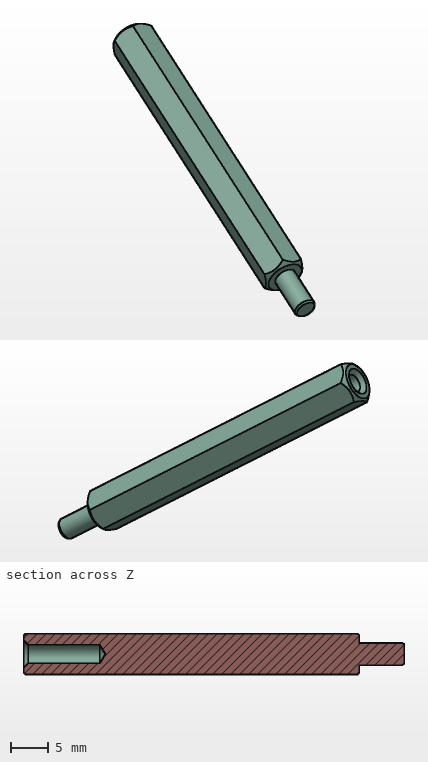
import cadquery as cq
import math

total_length = 51.0
body_length = 45.0
across_flats = 5.5
end_face_diameter = 5.0

stud_diameter = 3.0
stud_chamfer_length = 0.3
stud_tip_diameter = 2.65

hole_diameter = 2.45
hole_depth = 10.2
drill_point_angle = 118.0
countersink_diameter = 3.65
countersink_depth = 0.6

across_corners = across_flats / math.cos(math.radians(30))
corner_chamfer = (across_corners - end_face_diameter) / 2
drill_point_depth = hole_diameter / 2 / math.tan(math.radians(drill_point_angle / 2))


def revolve_about_x(profile):
    """Turn a closed (x, radius) profile about the X axis."""
    return cq.Workplane("XY").polyline(profile).close().revolve(360, (0, 0, 0), (1, 0, 0))


def make_hex_body():
    """Hexagonal bar with corners up and down, turned to 45 degree cones at both ends."""
    bar = (
        cq.Workplane("YZ")
        .polygon(6, across_corners)
        .extrude(body_length)
        .rotate((0, 0, 0), (1, 0, 0), 90)
    )
    face_radius = end_face_diameter / 2
    corner_radius = across_corners / 2
    envelope = revolve_about_x([
        (0, 0),
        (0, face_radius),
        (corner_chamfer, corner_radius),
        (body_length - corner_chamfer, corner_radius),
        (body_length, face_radius),
        (body_length, 0),
    ])
    return bar.intersect(envelope)


def make_stud():
    """Round stud with a chamfered tip."""
    stud_radius = stud_diameter / 2
    start = body_length
    return revolve_about_x([
        (start, 0),
        (start, stud_radius),
        (total_length - stud_chamfer_length, stud_radius),
        (total_length, stud_tip_diameter / 2),
        (total_length, 0),
    ])


def make_hole():
    """Blind drilled hole with a countersunk mouth and a conical bottom."""
    hole_radius = hole_diameter / 2
    return revolve_about_x([
        (0, 0),
        (0, countersink_diameter / 2),
        (countersink_depth, hole_radius),
        (hole_depth, hole_radius),
        (hole_depth + drill_point_depth, 0),
    ])


result = make_hex_body().union(make_stud()).cut(make_hole())